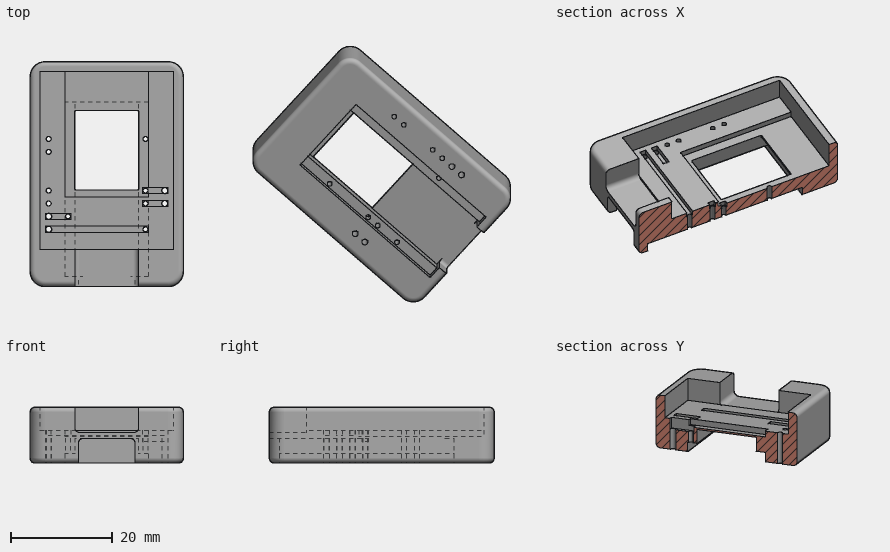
import cadquery as cq

length = 44.25
width = 30.2
height = 11.0
corner_radius = 3.0
edge_radius = 1.0

wall = 2.0
cavity_front = -14.8
cavity_floor = 6.45

recess_width = 16.5
recess_front = -4.45
recess_floor = 5.25
window_width = 12.55
window_front = -3.1
window_back = 12.5
window_radius = 0.2

upper_channel_floor = 6.0
upper_channel_radius = 1.0
lower_channel_width = 11.05
lower_channel_roof = 4.82
lower_channel_radius = 0.75

pocket_back = 14.15
pocket_step = 1.95

outer_column = 11.4
outer_column_steps = 4.5
inner_column_steps = 3
first_row = -10.85
small_hole = 0.95
large_hole = 1.15
groove_width = 1.25
groove_depth = 1.0

front = -length / 2
pocket_front = front + wall
cavity_back = length / 2 - wall
cavity_width = width - 2 * wall
pitch = outer_column / outer_column_steps
inner_column = inner_column_steps * pitch


def block(size_x, y_range, z_range):
    """Box centred on X = 0 that spans the given Y and Z ranges."""
    size_y = y_range[1] - y_range[0]
    size_z = z_range[1] - z_range[0]
    solid = cq.Workplane("XY").box(size_x, size_y, size_z, centered=(True, False, False))
    return solid.translate((0, y_range[0], z_range[0]))


def row_y(row):
    return first_row + row * pitch


def pin_hole(x, row, diameter):
    return cq.Workplane("XY").center(x, row_y(row)).circle(diameter / 2).extrude(height)


def groove(x_one, x_other, row, surface):
    """Square-ended groove below the given surface, reaching half its width past both pin holes."""
    span = abs(x_one - x_other) + groove_width
    floor = surface - groove_depth
    cutter = cq.Workplane("XY").box(span, groove_width, height - floor, centered=(True, True, False))
    return cutter.translate(((x_one + x_other) / 2, row_y(row), floor))


case = cq.Workplane("XY").box(width, length, height, centered=(True, True, False))
case = case.edges("|Z").fillet(corner_radius)
case = case.faces("<Z or >Z").edges().fillet(edge_radius)

case = case.cut(block(cavity_width, (cavity_front, cavity_back), (cavity_floor, height)))
case = case.cut(block(recess_width, (recess_front, cavity_back), (recess_floor, height)))
window = block(window_width, (window_front, window_back), (0, height))
case = case.cut(window.edges("|Z").fillet(window_radius))

upper_channel = block(window_width, (front, cavity_front), (upper_channel_floor, height))
case = case.cut(upper_channel.edges("|Y and <Z").fillet(upper_channel_radius))
lower_channel = block(lower_channel_width, (front, pocket_front), (0, lower_channel_roof))
case = case.cut(lower_channel.edges("|Y and >Z").fillet(lower_channel_radius))

case = case.cut(block(window_width, (pocket_front, pocket_back), (0, lower_channel_roof)))
case = case.cut(block(recess_width, (pocket_front, pocket_back), (0, pocket_step)))

plain_rows = (2, 3, 6, 7)
for row in plain_rows:
    case = case.cut(pin_hole(-outer_column, row, small_hole))
case = case.cut(pin_hole(inner_column, plain_rows[-1], small_hole))

groove_runs = (
    (0, -outer_column, inner_column, cavity_floor),
    (1, -outer_column, -inner_column, cavity_floor),
    (2, outer_column, inner_column, cavity_floor),
    (3, outer_column, inner_column, recess_floor),
)
for row, large_x, small_x, surface in groove_runs:
    case = case.cut(groove(large_x, small_x, row, surface))
    case = case.cut(pin_hole(large_x, row, large_hole))
    case = case.cut(pin_hole(small_x, row, small_hole))

result = case